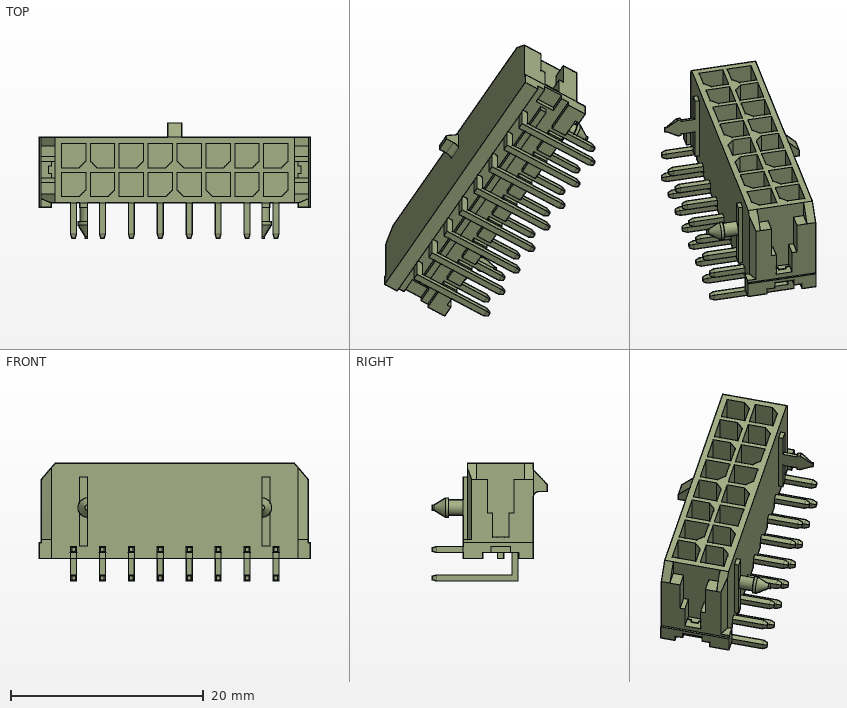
import cadquery as cq
import math


LENGTH = 28.15
HOUSING_DEPTH = 6.85
HOUSING_HEIGHT = 9.9
CORE_HALF = 12.41
END_HALF = 13.88
END_LEDGE_Z = 8.2
CORNER_RIB = 0.93
FRONT_BEVEL_X = 12.8
FRONT_BEVEL_DEPTH = 0.45

FLANGE_HEIGHT = 1.65
FOOT_HEIGHT = 1.97
BASE_DEPTH = 7.3

KEYWAY_WIDTHS = (2.7, 1.7)
KEYWAY_STEP_Z = 4.73
KEYWAY_FLOOR_Z = 2.22
KEYWAY_Y = -3.38
RECESS_DEPTH = 0.08
RECESS_STEM = 0.3
RECESS_STEM_WIDTH = 0.8

CHANNEL_BACK = -1.52
CHANNEL_FRONT = -5.24
WINDOW_WIDTH = 2.05
WINDOW_TOP = 1.27
CHANNEL_RIB = 0.68
RIB_SETBACK = 0.28

COLUMNS = 8
PITCH = 3.0
SOCKET = 2.53
SOCKET_CHAMFER = 0.7
SOCKET_KEYS = ("RLRRLRRR", "RRNRLLRR")
PIN = 0.65
PIN_TIP = 0.37
PIN_TIP_LENGTH = 0.45
PIN_END_Y = -10.5
PIN_LEG_Y = -1.58
PIN_BOTTOM_Z = -2.35
CHANNEL_HEIGHT = WINDOW_TOP - PIN

LATCH_WIDTH = 1.45
LATCH_REACH = 1.45
LATCH_TOP_Z = 9.23
LATCH_NOSE_TOP_Z = 7.68
LATCH_NOSE_BOTTOM_Z = 6.95
LATCH_FILLET = 0.62

RIB_WIDTH = 0.85
RIB_BOTTOM_Z = 1.3
RIB_TOP_Z = 8.47
PEG_X = 9.05
PEG_Z = 5.3
PEG_RADIUS = 0.82
COLLAR_RADIUS = 1.0
PEG_TIP_RADIUS = 0.28
COLLAR_START = 1.5
COLLAR_END = 1.83
CONE_END = 3.0

MID_Y = -HOUSING_DEPTH / 2
COLUMN_XS = [(i - (COLUMNS - 1) / 2) * PITCH for i in range(COLUMNS)]
ROW_YS = (MID_Y + PITCH / 2, MID_Y - PITCH / 2)


def box(x0, x1, y0, y1, z0, z1):
    """Axis-aligned box between two opposite corners."""
    return cq.Workplane("XY").box(x1 - x0, y1 - y0, z1 - z0, centered=False).translate((x0, y0, z0))


def both_ends(solid):
    """The solid together with its mirror image at the other end."""
    return solid.union(solid.mirror("YZ"))


def end_wall():
    """End wall at +X: sloped corner ribs, lower middle part, stepped keyway and front bevel."""
    wall = (
        cq.Workplane("XZ")
        .moveTo(0, 0)
        .lineTo(END_HALF, 0)
        .lineTo(END_HALF, END_LEDGE_Z)
        .lineTo(CORE_HALF, HOUSING_HEIGHT)
        .lineTo(0, HOUSING_HEIGHT)
        .close()
        .extrude(HOUSING_DEPTH)
    )
    ledge_front = CORNER_RIB - HOUSING_DEPTH
    wall = wall.cut(box(CORE_HALF, END_HALF, ledge_front, -CORNER_RIB, END_LEDGE_Z, HOUSING_HEIGHT))

    steps_z = (END_LEDGE_Z, KEYWAY_STEP_Z, KEYWAY_FLOOR_Z)
    for width, top, bottom in zip(KEYWAY_WIDTHS, steps_z, steps_z[1:]):
        wall = wall.cut(box(CORE_HALF, END_HALF, KEYWAY_Y - width / 2, KEYWAY_Y + width / 2, bottom, top))

    recess_z = KEYWAY_FLOOR_Z - RECESS_DEPTH
    for x0, x1, width in (
        (CORE_HALF, FRONT_BEVEL_X, KEYWAY_WIDTHS[1]),
        (FRONT_BEVEL_X, FRONT_BEVEL_X + RECESS_STEM, RECESS_STEM_WIDTH),
    ):
        wall = wall.cut(box(x0, x1, KEYWAY_Y - width / 2, KEYWAY_Y + width / 2, recess_z, KEYWAY_FLOOR_Z))

    bevel = (
        cq.Workplane("XY")
        .moveTo(FRONT_BEVEL_X, -HOUSING_DEPTH)
        .lineTo(END_HALF, -HOUSING_DEPTH)
        .lineTo(END_HALF, -HOUSING_DEPTH + FRONT_BEVEL_DEPTH)
        .close()
        .extrude(HOUSING_HEIGHT)
    )
    return wall.cut(bevel)


def base_end():
    """Flange and front foot at +X."""
    flange = box(END_HALF, LENGTH / 2, -BASE_DEPTH, 0, 0, FLANGE_HEIGHT)
    foot = box(FRONT_BEVEL_X, END_HALF, -BASE_DEPTH, -HOUSING_DEPTH + FRONT_BEVEL_DEPTH, 0, FOOT_HEIGHT)
    return flange.union(foot)


def underside_cuts():
    """Lengthwise channel, end windows above it and the pin slots in the front wall."""
    cuts = box(-LENGTH / 2, LENGTH / 2, CHANNEL_FRONT, CHANNEL_BACK, 0, CHANNEL_HEIGHT)
    window = box(
        CORE_HALF, LENGTH / 2, KEYWAY_Y - WINDOW_WIDTH / 2, KEYWAY_Y + WINDOW_WIDTH / 2, 0, WINDOW_TOP
    )
    cuts = cuts.union(both_ends(window))
    for x in COLUMN_XS:
        cuts = cuts.union(box(x - PIN / 2, x + PIN / 2, -HOUSING_DEPTH, CHANNEL_FRONT, 0, WINDOW_TOP))
    return cuts


def channel_rib():
    """Rib along the middle of the channel, set back from both end faces of the core."""
    end_x = CORE_HALF - RIB_SETBACK
    return box(-end_x, end_x, KEYWAY_Y - CHANNEL_RIB / 2, KEYWAY_Y + CHANNEL_RIB / 2, 0, CHANNEL_HEIGHT)


def socket(x, y, key):
    """Square contact cavity with one front corner chamfered according to its key."""
    cavity = box(
        x - SOCKET / 2, x + SOCKET / 2, y - SOCKET / 2, y + SOCKET / 2, KEYWAY_FLOOR_Z, HOUSING_HEIGHT
    )
    corner = {"R": ">X", "L": "<X"}.get(key)
    if corner:
        cavity = cavity.edges(f"|Z and <Y and {corner}").chamfer(SOCKET_CHAMFER)
    return cavity


def pin(x, back_y, bottom_z):
    """Square pin running forward from back_y, with a tapered tip."""
    shank_end = PIN_END_Y + PIN_TIP_LENGTH
    shank = box(x - PIN / 2, x + PIN / 2, shank_end, back_y, bottom_z, bottom_z + PIN)
    tip = (
        cq.Workplane("XZ", origin=(x, shank_end, bottom_z + PIN / 2))
        .rect(PIN, PIN)
        .workplane(offset=PIN_TIP_LENGTH)
        .rect(PIN_TIP, PIN_TIP)
        .loft()
    )
    return shank.union(tip)


def contact_pair(x):
    """Upper straight pin and lower bent pin of one column."""
    upper = pin(x, CHANNEL_FRONT + PIN, WINDOW_TOP - PIN)
    lower = pin(x, PIN_LEG_Y, PIN_BOTTOM_Z)
    leg = box(x - PIN / 2, x + PIN / 2, PIN_LEG_Y - PIN, PIN_LEG_Y, PIN_BOTTOM_Z, CHANNEL_HEIGHT)
    return upper.union(lower).union(leg)


def latch():
    """Ramped latch on the rear face with a concave fillet below its nose."""
    fillet_mid = LATCH_FILLET * (1 - math.sqrt(0.5))
    fillet_end_z = LATCH_NOSE_BOTTOM_Z - LATCH_FILLET
    return (
        cq.Workplane("YZ", origin=(-LATCH_WIDTH / 2, 0, 0))
        .moveTo(0, LATCH_TOP_Z)
        .lineTo(LATCH_REACH, LATCH_NOSE_TOP_Z)
        .lineTo(LATCH_REACH, LATCH_NOSE_BOTTOM_Z)
        .lineTo(LATCH_FILLET, LATCH_NOSE_BOTTOM_Z)
        .threePointArc((fillet_mid, LATCH_NOSE_BOTTOM_Z - fillet_mid), (0, fillet_end_z))
        .close()
        .extrude(LATCH_WIDTH)
    )


def rib_and_peg():
    """Front rib at +X with its half-round locating peg, flat towards the mid plane."""
    rib = box(PEG_X, PEG_X + RIB_WIDTH, -BASE_DEPTH, -HOUSING_DEPTH, RIB_BOTTOM_Z, RIB_TOP_Z)
    peg_length = -PIN_END_Y - BASE_DEPTH
    peg = (
        cq.Workplane("XY")
        .lineTo(PEG_RADIUS, 0)
        .lineTo(PEG_RADIUS, -COLLAR_START)
        .lineTo(COLLAR_RADIUS, -COLLAR_START)
        .lineTo(COLLAR_RADIUS, -COLLAR_END)
        .lineTo(PEG_TIP_RADIUS, -CONE_END)
        .lineTo(PEG_TIP_RADIUS, -peg_length)
        .lineTo(0, -peg_length)
        .close()
        .revolve(180, (0, 0, 0), (0, 1, 0))
        .rotate((0, 0, 0), (0, 1, 0), -90)
    )
    return rib.union(peg.translate((PEG_X, -BASE_DEPTH, PEG_Z)))


result = both_ends(end_wall()).union(both_ends(base_end()))
result = result.cut(underside_cuts()).union(channel_rib())
for row_y, keys in zip(ROW_YS, SOCKET_KEYS):
    for column_x, key in zip(COLUMN_XS, keys):
        result = result.cut(socket(column_x, row_y, key))
for column_x in COLUMN_XS:
    result = result.union(contact_pair(column_x))
result = result.union(latch()).union(both_ends(rib_and_peg()))